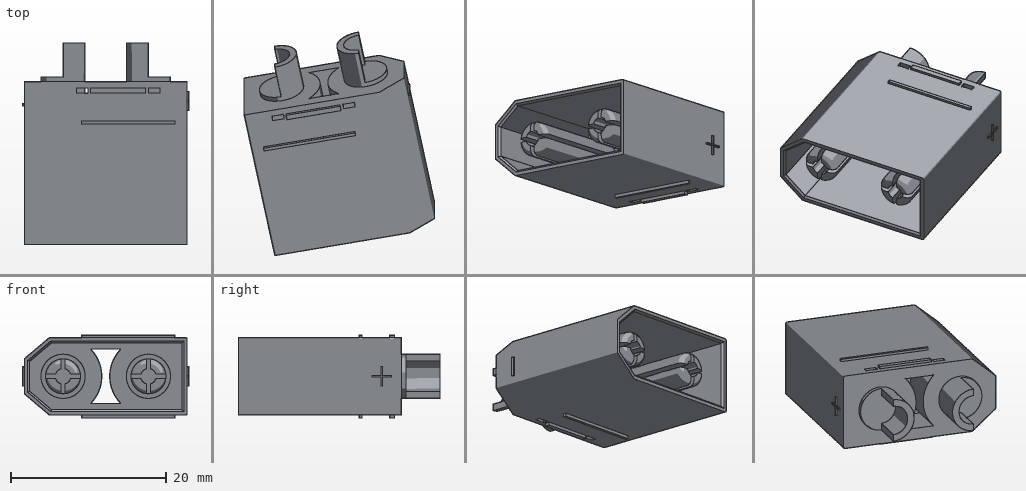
import cadquery as cq

half_width = 10.5
half_height = 5.0
mouth_y = -13.0
rear_y = 8.0
bevel_start_x = -7.25
bevel_side_z = 2.25
edge_radius = 0.25
wall = 0.7
lead_in = 0.25
lead_in_angle = 45.0
floor_y = 3.0

window_half_height = 3.5
window_arc_radius = 5.0

top_raise = 0.3
bottom_raise = 0.4
bar_center_x = 1.6
bar_length = 7.1
bar_front_y = 6.5
bar_width = 0.65
rib_center_x = 2.9
rib_length = 12.0
rib_front_y = 2.55
rib_width = 0.4
slot_length = 1.5
slot_offset = 4.65

mark_raise = 0.2
mark_length = 2.5
minus_y = 5.0
minus_stroke = 0.33
plus_y = 5.5
plus_stroke = 0.2

pin_x = 5.5
barrel_radius = 2.85
flange_rear_y = rear_y + 0.6
contact_radius = 2.25
tip_round = 0.75
contact_bore_radius = 1.0
tip_y = -11.65
cross_slot = 0.55
cross_slot_end_y = floor_y - 1.0
cup_bore_radius = 1.95
cup_rear_y = 13.0


def block(x_range, y_range, z_range):
    """Axis-aligned box spanning three (low, high) ranges."""
    corner, opposite = zip(x_range, y_range, z_range)
    sizes = [high - low for low, high in zip(corner, opposite)]
    return cq.Workplane("XY").box(*sizes, centered=False).translate(corner)


def around(center, length):
    """Range of the given length centred on a value."""
    return (center - length / 2, center + length / 2)


def rod(x, radius, front_y, back_y):
    """Cylinder along Y at mid height."""
    return cq.Workplane("XZ", origin=(x, front_y, 0)).circle(radius).extrude(front_y - back_y)


def mouth_outline():
    """Housing outline at the mouth, bevelled at both -X corners."""
    return cq.Workplane("XZ", origin=(0, mouth_y, 0)).polyline([
        (half_width, half_height),
        (bevel_start_x, half_height),
        (-half_width, bevel_side_z),
        (-half_width, -bevel_side_z),
        (bevel_start_x, -half_height),
        (half_width, -half_height),
    ]).close()


def make_shell():
    """Outer prism with a cavity whose mouth is chamfered."""
    prism = mouth_outline().extrude(mouth_y - rear_y).edges("|Y").fillet(edge_radius)
    cavity = mouth_outline().offset2D(-wall, "intersection").extrude(mouth_y - floor_y)
    mouth = mouth_outline().offset2D(lead_in - wall, "intersection").extrude(-lead_in, taper=lead_in_angle)
    return prism.cut(cavity).cut(mouth)


def make_window():
    """Hourglass cutter: a box waisted by two arcs round the pins."""
    window = block((-pin_x, pin_x), (floor_y, rear_y), (-window_half_height, window_half_height))
    for x in (-pin_x, pin_x):
        window = window.cut(rod(x, window_arc_radius, floor_y, rear_y))
    return window


def add_bars(housing):
    """Rear bar and front rib, raised on both the top and the bottom."""
    root = half_height - wall / 2
    heights = ((root, half_height + top_raise), (-half_height - bottom_raise, -root))
    bars = (
        (around(bar_center_x, bar_length), (bar_front_y, bar_front_y + bar_width)),
        (around(rib_center_x, rib_length), (rib_front_y, rib_front_y + rib_width)),
    )
    for x_range, y_range in bars:
        for z_range in heights:
            housing = housing.union(block(x_range, y_range, z_range))
    return housing


def cut_slots(housing):
    """Slots at both ends of the rear bar, through the full height."""
    y_range = (bar_front_y, bar_front_y + bar_width)
    for side in (-1, 1):
        x_range = around(bar_center_x + side * slot_offset, slot_length)
        housing = housing.cut(block(x_range, y_range, (-half_height, half_height)))
    return housing


def add_polarity_marks(housing):
    root = half_width - wall / 2
    face = half_width + mark_raise
    upright = around(0, mark_length)
    minus = block((-face, -root), around(minus_y, minus_stroke), upright)
    plus_upright = block((root, face), around(plus_y, plus_stroke), upright)
    plus_cross = block((root, face), around(plus_y, mark_length), around(0, plus_stroke))
    return housing.union(minus).union(plus_upright).union(plus_cross)


def make_housing():
    housing = make_shell().cut(make_window())
    housing = add_bars(housing)
    housing = cut_slots(housing)
    housing = add_polarity_marks(housing)
    for x in (-pin_x, pin_x):
        housing = housing.cut(rod(x, barrel_radius, floor_y, rear_y))
    return housing


def make_contact(x):
    """Round-nosed hollow contact, split in four by crossed slots."""
    contact = rod(x, contact_radius, tip_y, floor_y).faces("<Y").edges().fillet(tip_round)
    contact = contact.cut(rod(x, contact_bore_radius, tip_y, cross_slot_end_y))
    diameter = 2 * contact_radius
    y_range = (tip_y, cross_slot_end_y)
    contact = contact.cut(block(around(x, cross_slot), y_range, around(0, diameter)))
    return contact.cut(block(around(x, diameter), y_range, around(0, cross_slot)))


def make_solder_cup(x, inward):
    """Half tube behind the flange, open away from the other pin."""
    tube = rod(x, barrel_radius, flange_rear_y, cup_rear_y)
    tube = tube.cut(rod(x, cup_bore_radius, flange_rear_y, cup_rear_y))
    x_range = sorted((x, x + inward * barrel_radius))
    return tube.intersect(block(x_range, (flange_rear_y, cup_rear_y), around(0, 2 * barrel_radius)))


def make_pin(side):
    x = side * pin_x
    barrel = rod(x, barrel_radius, floor_y, flange_rear_y)
    return barrel.union(make_contact(x)).union(make_solder_cup(x, -side))


housing = make_housing()
pins = [make_pin(side) for side in (-1, 1)]
result = cq.Compound.makeCompound([housing.val(), *[pin.val() for pin in pins]])